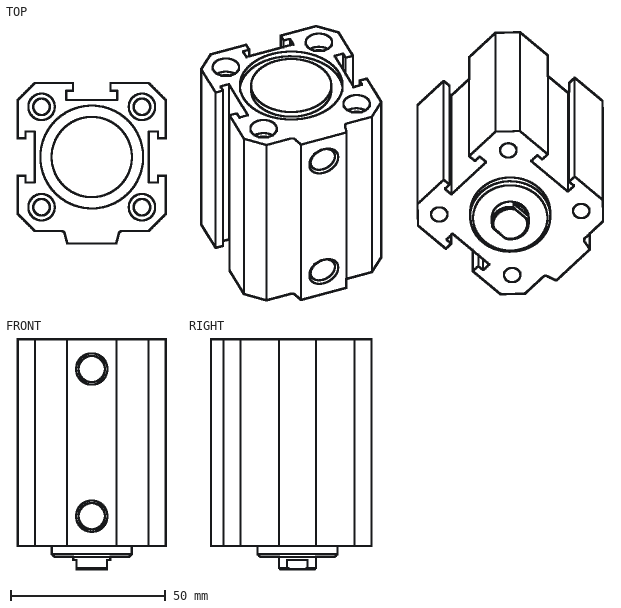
import cadquery as cq
import math

housing_width = 48.0
housing_height = 67.0
half_width = housing_width / 2
corner_chamfer = 5.6

slot_opening = 12.0
slot_inner_width = 16.4
slot_lip = 2.6
slot_depth = 5.5

rib_height = 52.0 - housing_width
rib_tip_width = 15.9
rib_flank_angle = 15.0
rib_root_radius = 1.0

port_diameter = 8.5
port_mouth_diameter = 10.1
port_mouth_depth = (port_mouth_diameter - port_diameter) / 2
port_depth = 8.95
port_end_distance = 9.7

mount_spacing = 32.5
mount_diameter = 5.3
counterbore_diameter = 8.6
counterbore_depth = 5.65

recess_outer_diameter = 33.3
recess_inner_diameter = 26.0
recess_depth = 2.0
boss_diameter = 26.0
boss_height = 3.5
boss_chamfer = 1.0

rod_diameter = 12.0
rod_projection = 74.5 - housing_height
rod_socket_depth = 14.9
rod_chamfer = 0.5
flat_spacing = 10.0
flat_length = 3.0


def t_slot(angle):
    """T-slot cutter open to the +Y side, turned about Z by the given angle."""
    mouth = cq.Workplane("XY").box(
        slot_opening, slot_depth, housing_height, centered=(True, False, False)
    )
    undercut = cq.Workplane("XY").box(
        slot_inner_width, slot_depth - slot_lip, housing_height, centered=(True, False, False)
    )
    cutter = mouth.union(undercut).translate((0, half_width - slot_depth, 0))
    return cutter.rotate((0, 0, 0), (0, 0, 1), angle)


def make_rail():
    """Extruded housing section: chamfered square, port rib and three T-slots."""
    rib_tip = rib_tip_width / 2
    rib_root = rib_tip + rib_height * math.tan(math.radians(rib_flank_angle))
    rail = (
        cq.Workplane("XY")
        .rect(housing_width, housing_width)
        .extrude(housing_height)
        .edges("|Z")
        .chamfer(corner_chamfer)
    )
    rib = (
        cq.Workplane("XY")
        .polyline([
            (-rib_root, -half_width),
            (-rib_tip, -half_width - rib_height),
            (rib_tip, -half_width - rib_height),
            (rib_root, -half_width),
            (rib_root, 0),
            (-rib_root, 0),
        ])
        .close()
        .extrude(housing_height)
    )
    rail = rail.union(rib)
    for x in (-rib_root, rib_root):
        root_edge = cq.selectors.NearestToPointSelector((x, -half_width, housing_height / 2))
        rail = rail.edges("|Z").edges(root_edge).fillet(rib_root_radius)
    for angle in (-90, 0, 90):
        rail = rail.cut(t_slot(angle))
    return rail


def port(z):
    """Blind port cutter with a conical mouth, entering from the rib face."""
    mouth_y = -half_width - rib_height
    return (
        cq.Workplane("XY")
        .polyline([
            (0, mouth_y),
            (port_mouth_diameter / 2, mouth_y),
            (port_diameter / 2, mouth_y + port_mouth_depth),
            (port_diameter / 2, mouth_y + port_depth),
            (0, mouth_y + port_depth),
        ])
        .close()
        .revolve(360, (0, 0), (0, 1))
        .translate((0, 0, z))
    )


def make_housing():
    boss = (
        cq.Workplane("XY")
        .circle(boss_diameter / 2)
        .extrude(-boss_height)
        .faces("<Z")
        .chamfer(boss_chamfer)
    )
    recess = (
        cq.Workplane("XY", origin=(0, 0, housing_height))
        .circle(recess_outer_diameter / 2)
        .circle(recess_inner_diameter / 2)
        .extrude(-recess_depth)
    )
    rod_socket = (
        cq.Workplane("XY", origin=(0, 0, -boss_height))
        .circle(rod_diameter / 2)
        .extrude(boss_height + rod_socket_depth)
    )
    housing = (
        make_rail()
        .faces(">Z")
        .workplane(origin=(0, 0, housing_height))
        .rect(mount_spacing, mount_spacing, forConstruction=True)
        .vertices()
        .cboreHole(mount_diameter, counterbore_diameter, counterbore_depth)
        .union(boss)
        .cut(recess)
        .cut(rod_socket)
    )
    for z in (port_end_distance, housing_height - port_end_distance):
        housing = housing.cut(port(z))
    return housing


def make_rod():
    rod = (
        cq.Workplane("XY", origin=(0, 0, -rod_projection))
        .circle(rod_diameter / 2)
        .extrude(rod_projection + rod_socket_depth)
        .faces("<Z")
        .chamfer(rod_chamfer)
    )
    flats = (
        cq.Workplane("XY", origin=(0, 0, -rod_projection))
        .rect(2 * rod_diameter, 2 * rod_diameter)
        .rect(flat_spacing, 2 * rod_diameter)
        .extrude(flat_length)
    )
    return rod.cut(flats)


housing = make_housing()
rod = make_rod()

result = cq.Compound.makeCompound([housing.solids().val(), rod.solids().val()])